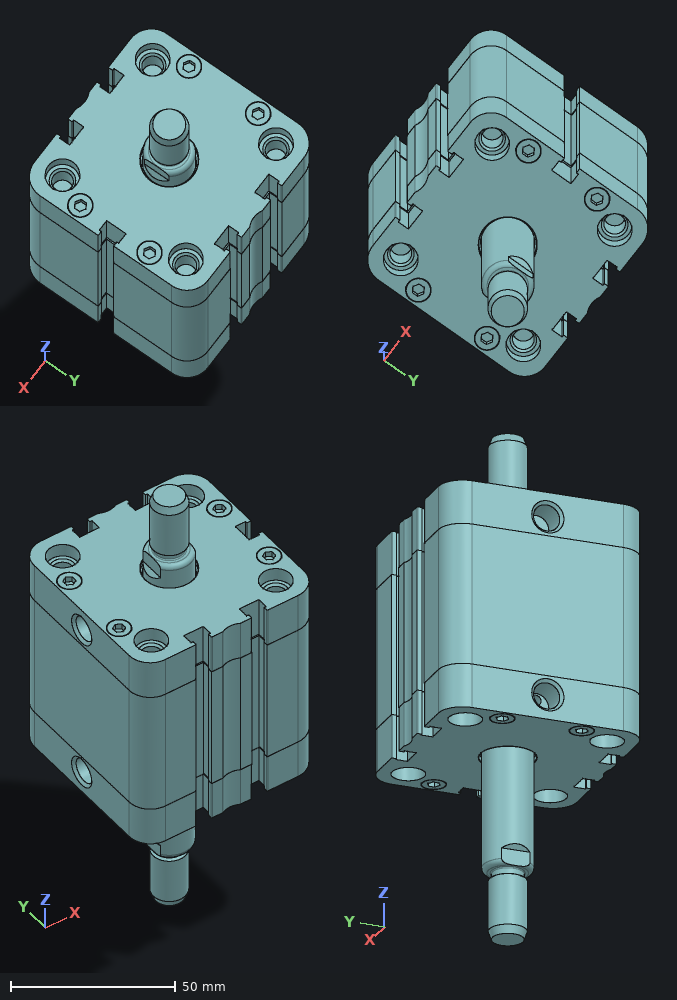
import cadquery as cq
import math


SIDE = 65.5
CORNER_RADIUS = 8.0
CAP_HEIGHT = 14.4
HOUSING_HEIGHT = 74.9
BARREL_HEIGHT = HOUSING_HEIGHT - 2 * CAP_HEIGHT
HALF_SIDE = SIDE / 2

SLOT_OPENING = 5.8
CAP_SLOT_WIDTH = 7.3
CAP_SLOT_DEPTH = 5.5
BARREL_SLOT_WIDTH = 6.8
BARREL_SLOT_DEPTH = 5.0
SLOT_LIP = 1.6
SLOT_OFFSET = 10.4

GROOVE_WIDTH = 6.6
GROOVE_DEPTH = 0.8

CAP_EDGE_ROUND = 0.25

PORT_HEIGHT = 8.1
PORT_DIAMETER = 8.5
PORT_RIM_DIAMETER = 10.5
PORT_DEPTH = 9.9
PASSAGE_DIAMETER = 3.5
PASSAGE_OFFSET = 2.0
PASSAGE_DEPTH = 3.3

MOUNT_OFFSET = 23.3
MOUNT_BORE_DIAMETER = 10.5
MOUNT_BORE_DEPTH = 4.8
MOUNT_RIM_DIAMETER = 8.1
MOUNT_HOLE_DIAMETER = 6.6
MOUNT_HOLE_DEPTH = 8.2

SCREW_X = 28.0
SCREW_Y = 13.0
SCREW_BORE_DIAMETER = 7.8
SCREW_HEAD_DIAMETER = 7.5
SCREW_HEAD_DEPTH = 3.3
SOCKET_FLATS = 3.5
SOCKET_DEPTH = 2.0

ROD_DIAMETER = 16.0
ROD_UPPER_REACH = 30.0
ROD_LOWER_REACH = 60.0
THREAD_DIAMETER = 12.0
NECK_DIAMETER = 10.0
THREAD_END = 19.3
NECK_TAPER = 0.5
NECK_ROUND = 0.3
SHOULDER_END = 22.0
SHOULDER_ROUND = 1.6
TIP_DIAMETER = 10.0
TIP_LENGTH = 2.6
FLATS_WIDTH = 13.0
FLATS_END = 27.0

SEAL_BORE_DIAMETER = 16.5
SEAL_RIM_DIAMETER = 18.0
SEAL_RECESS_DIAMETER = 17.7
SEAL_RIM_DEPTH = 0.2
SEAL_RECESS_DEPTH = 1.6


def t_slot(height, width, depth):
    """Cutter for a T-slot open at the +X face."""
    opening = cq.Workplane("XY").box(SLOT_LIP, SLOT_OPENING, height, centered=(False, True, False))
    chamber = cq.Workplane("XY").box(
        depth - SLOT_LIP, width, height, centered=(False, True, False)
    )
    return (
        opening.translate((HALF_SIDE - SLOT_LIP, 0, 0))
        .union(chamber.translate((HALF_SIDE - depth, 0, 0)))
    )


def round_groove(height):
    """Cutter for the shallow arc groove at the middle of the -Y face."""
    radius = ((GROOVE_WIDTH / 2) ** 2 + GROOVE_DEPTH**2) / (2 * GROOVE_DEPTH)
    center_y = -HALF_SIDE + GROOVE_DEPTH - radius
    return cq.Workplane("XY").center(0, center_y).circle(radius).extrude(height)


def housing_section(height, slot_width, slot_depth):
    """Rounded square prism with the T-slots and grooves shared by caps and barrel."""
    section = cq.Workplane("XY").rect(SIDE, SIDE).extrude(height)
    section = section.edges("|Z").fillet(CORNER_RADIUS)
    slot = t_slot(height, slot_width, slot_depth)
    groove = round_groove(height)
    section = section.cut(slot)
    for face_turn in (0, 180):
        section = section.cut(groove.rotate((0, 0, 0), (0, 0, 1), face_turn))
        for sideways in (-SLOT_OFFSET, SLOT_OFFSET):
            face_slot = slot.rotate((0, 0, 0), (0, 0, 1), 90 + face_turn)
            section = section.cut(face_slot.translate((sideways, 0, 0)))
    return section


def round_mouths(cap):
    """Round the outer edges of the slots and grooves in the -Y and +Y faces."""
    half_groove = GROOVE_WIDTH / 2
    inner_mouth = SLOT_OFFSET - SLOT_OPENING / 2
    outer_mouth = SLOT_OFFSET + SLOT_OPENING / 2
    edges = cq.Workplane("XY")
    for y in (-HALF_SIDE, HALF_SIDE):
        for x in (half_groove, inner_mouth, outer_mouth):
            for side in (-1, 1):
                spot = (side * x, y, CAP_HEIGHT / 2)
                edges = edges.add(cap.edges(cq.selectors.NearestToPointSelector(spot)))
    return cap.newObject(edges.vals()).fillet(CAP_EDGE_ROUND)


def cone(bottom_diameter, top_diameter, height):
    """Truncated cone on the Z axis, standing on Z = 0."""
    return cq.Workplane("XY").add(
        cq.Solid.makeCone(bottom_diameter / 2, top_diameter / 2, height)
    )


def cut_rod_passage(cap):
    passage = cq.Workplane("XY").circle(SEAL_BORE_DIAMETER / 2).extrude(CAP_HEIGHT)
    recess = cq.Workplane("XY").circle(SEAL_RECESS_DIAMETER / 2).extrude(SEAL_RECESS_DEPTH)
    rim = cone(SEAL_RECESS_DIAMETER, SEAL_RIM_DIAMETER, SEAL_RIM_DEPTH)
    cap = cap.cut(passage)
    cap = cap.cut(recess.translate((0, 0, CAP_HEIGHT - SEAL_RECESS_DEPTH)))
    return cap.cut(rim.translate((0, 0, CAP_HEIGHT - SEAL_RIM_DEPTH)))


def cut_mounting_holes(cap):
    """Counterbored corner holes, each with a 45 degree rim at the foot of the counterbore."""
    rim_depth = (MOUNT_RIM_DIAMETER - MOUNT_HOLE_DIAMETER) / 2
    floor = CAP_HEIGHT - MOUNT_BORE_DEPTH
    corners = cq.Workplane("XY").rect(2 * MOUNT_OFFSET, 2 * MOUNT_OFFSET, forConstruction=True).vertices()
    bores = corners.circle(MOUNT_BORE_DIAMETER / 2).extrude(MOUNT_BORE_DEPTH)
    holes = corners.circle(MOUNT_HOLE_DIAMETER / 2).extrude(-MOUNT_HOLE_DEPTH)
    cap = cap.cut(bores.translate((0, 0, floor)))
    cap = cap.cut(holes.translate((0, 0, floor)))
    rim = cone(MOUNT_HOLE_DIAMETER, MOUNT_RIM_DIAMETER, rim_depth)
    for x in (-MOUNT_OFFSET, MOUNT_OFFSET):
        for y in (-MOUNT_OFFSET, MOUNT_OFFSET):
            cap = cap.cut(rim.translate((x, y, floor - rim_depth)))
    return cap


def cut_screw_heads(cap):
    """Ring gap around each screw head, and its hexagon socket."""
    spots = cq.Workplane("XY").rect(2 * SCREW_X, 2 * SCREW_Y, forConstruction=True).vertices()
    gaps = (
        spots.circle(SCREW_BORE_DIAMETER / 2).circle(SCREW_HEAD_DIAMETER / 2)
        .extrude(SCREW_HEAD_DEPTH)
    )
    socket = (
        cq.Workplane("XY").polygon(6, SOCKET_FLATS / math.cos(math.pi / 6))
        .extrude(SOCKET_DEPTH).rotate((0, 0, 0), (0, 0, 1), 90)
    )
    cap = cap.cut(gaps.translate((0, 0, CAP_HEIGHT - SCREW_HEAD_DEPTH)))
    for x in (-SCREW_X, SCREW_X):
        for y in (-SCREW_Y, SCREW_Y):
            cap = cap.cut(socket.translate((x, y, CAP_HEIGHT - SOCKET_DEPTH)))
    return cap


def cut_port(cap):
    """Air port in the -X face, with a 45 degree rim and a small passage in its floor."""
    rim_depth = (PORT_RIM_DIAMETER - PORT_DIAMETER) / 2
    port_z = CAP_HEIGHT - PORT_HEIGHT
    bore = cq.Workplane("XY").circle(PORT_DIAMETER / 2).extrude(PORT_DEPTH)
    rim = cone(PORT_RIM_DIAMETER, PORT_DIAMETER, rim_depth)
    passage = (
        cq.Workplane("XY").center(PASSAGE_OFFSET, 0).circle(PASSAGE_DIAMETER / 2)
        .extrude(PORT_DEPTH + PASSAGE_DEPTH)
    )
    port = bore.union(rim).union(passage)
    port = port.rotate((0, 0, 0), (0, 1, 0), 90)
    return cap.cut(port.translate((-HALF_SIDE, 0, port_z)))


def make_cap():
    """End cap standing on Z = 0 with its outer face upward."""
    cap = housing_section(CAP_HEIGHT, CAP_SLOT_WIDTH, CAP_SLOT_DEPTH)
    cap = round_mouths(cap)
    cap = cut_rod_passage(cap)
    cap = cut_mounting_holes(cap)
    cap = cut_screw_heads(cap)
    return cut_port(cap)


def make_barrel():
    """Barrel standing on Z = 0, bored to fit the rod."""
    bore = cq.Workplane("XY").circle(ROD_DIAMETER / 2).extrude(BARREL_HEIGHT)
    return housing_section(BARREL_HEIGHT, BARREL_SLOT_WIDTH, BARREL_SLOT_DEPTH).cut(bore)


def flats_cutter(side):
    """Cutter for one wrench flat, running out at 45 degrees; measured down from the rod tip at Z = 0."""
    inner = FLATS_WIDTH / 2
    outer = ROD_DIAMETER
    return (
        cq.Workplane("XZ")
        .polyline([
            (side * inner, -SHOULDER_END),
            (side * outer, -SHOULDER_END),
            (side * outer, -FLATS_END - (outer - inner)),
            (side * inner, -FLATS_END),
        ])
        .close()
        .extrude(ROD_DIAMETER, both=True)
    )


def rod_half(length):
    """Rod end hanging down from its threaded tip at Z = 0."""
    rod_radius = ROD_DIAMETER / 2
    round_offset = SHOULDER_ROUND * math.sin(math.pi / 4)
    round_center = (rod_radius - SHOULDER_ROUND, -SHOULDER_END - SHOULDER_ROUND)
    half = (
        cq.Workplane("XZ")
        .lineTo(TIP_DIAMETER / 2, 0)
        .lineTo(THREAD_DIAMETER / 2, -TIP_LENGTH)
        .lineTo(THREAD_DIAMETER / 2, -THREAD_END)
        .lineTo(NECK_DIAMETER / 2, -THREAD_END - NECK_TAPER)
        .lineTo(NECK_DIAMETER / 2, -SHOULDER_END + NECK_ROUND)
        .radiusArc((NECK_DIAMETER / 2 + NECK_ROUND, -SHOULDER_END), -NECK_ROUND)
        .lineTo(rod_radius - SHOULDER_ROUND, -SHOULDER_END)
        .threePointArc(
            (round_center[0] + round_offset, round_center[1] + round_offset),
            (rod_radius, -SHOULDER_END - SHOULDER_ROUND),
        )
        .lineTo(rod_radius, -length)
        .lineTo(0, -length)
        .close()
        .revolve(360, (0, 0, 0), (0, 1, 0))
    )
    for side in (-1, 1):
        half = half.cut(flats_cutter(side))
    return half


def make_rod():
    """Through rod with the same threaded end and wrench flats at both ends."""
    middle = HOUSING_HEIGHT / 2
    upper = rod_half(ROD_UPPER_REACH + middle).translate((0, 0, HOUSING_HEIGHT + ROD_UPPER_REACH))
    lower = rod_half(ROD_LOWER_REACH + middle).rotate((0, 0, 0), (1, 0, 0), 180)
    return upper.union(lower.translate((0, 0, -ROD_LOWER_REACH)))


upper_cap = make_cap().translate((0, 0, HOUSING_HEIGHT - CAP_HEIGHT))
lower_cap = make_cap().rotate((0, 0, 0), (1, 0, 0), 180).translate((0, 0, CAP_HEIGHT))
barrel = make_barrel().translate((0, 0, CAP_HEIGHT))
rod = make_rod()

result = cq.Compound.makeCompound([upper_cap.val(), lower_cap.val(), barrel.val(), rod.val()])